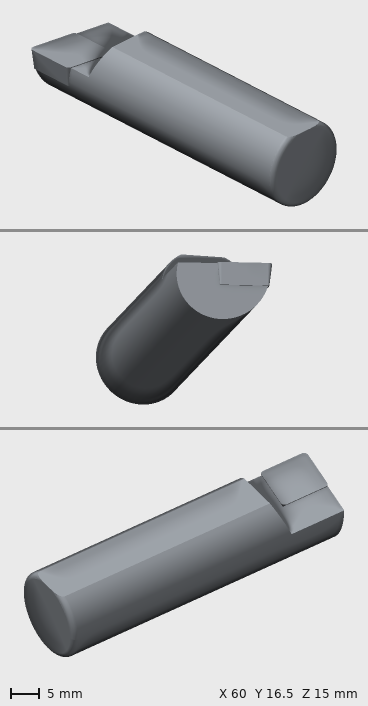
import cadquery as cq
import math


total_length = 60.0
shank_diameter = 16.0
shank_radius = shank_diameter / 2
flat_height = 15.0 - shank_radius
end_fillet = 1.0
shelf_height = 1.75
shelf_end = 14.0
back_wall_angle = math.radians(20)
nose_setback = 0.2

insert_top = 1.9
insert_thickness = 3.95
insert_width = 9.55
insert_front = 16.5 - shank_radius
corner_angle = math.radians(80)
corner_radius = 0.8
relief_degrees = 7.0

side_lean = math.pi / 2 - corner_angle
relief = math.radians(relief_degrees)
insert_side = insert_width / math.sin(corner_angle)
side_shift = insert_width / math.tan(corner_angle)
sharp_corner_x = corner_radius - corner_radius / math.tan(corner_angle / 2)
margin = 3.0


def rhombus():
    """Sharp-cornered outline of the insert's top face."""
    front_y = -insert_front
    back_y = front_y + insert_width
    return cq.Sketch().polygon([
        (sharp_corner_x, front_y),
        (sharp_corner_x + insert_side, front_y),
        (sharp_corner_x + insert_side + side_shift, back_y),
        (sharp_corner_x + side_shift, back_y),
        (sharp_corner_x, front_y),
    ])


def tapered_block(outline):
    """Block reaching down from the insert's top face, narrowing by the relief angle."""
    return (
        cq.Workplane("XY", origin=(0, 0, insert_top))
        .placeSketch(outline)
        .extrude(-insert_thickness, taper=relief_degrees)
    )


def make_insert():
    """Rhombic insert with rounded corners and flanks narrowing downward."""
    return tapered_block(rhombus().vertices().fillet(corner_radius))


def make_pocket():
    """Seat of the insert; its sharp corners leave clearance at the rounded insert corners."""
    return tapered_block(rhombus())


def make_shank():
    """Round bar with its far end rounded."""
    bar = cq.Workplane("YZ").circle(shank_radius).extrude(total_length)
    return bar.faces(">X").edges().fillet(end_fillet)


def make_top_cut():
    """Material above the shelf, its back wall and the long flat."""
    wall_run = (flat_height - shelf_height) * math.tan(back_wall_angle)
    above = shank_radius + margin
    return (
        cq.Workplane("XZ")
        .moveTo(-margin, shelf_height)
        .lineTo(shelf_end, shelf_height)
        .lineTo(shelf_end + wall_run, flat_height)
        .lineTo(total_length + margin, flat_height)
        .lineTo(total_length + margin, above)
        .lineTo(-margin, above)
        .close()
        .extrude(shank_radius + margin, both=True)
    )


def make_nose_cut():
    """Material in front of the nose face, which is parallel to the insert's end flank."""
    outward = (
        -math.cos(side_lean) * math.cos(relief),
        math.sin(side_lean) * math.cos(relief),
        -math.sin(relief),
    )
    along_edge = (math.sin(side_lean), math.cos(side_lean), 0)
    nose_plane = cq.Plane(
        origin=(sharp_corner_x + nose_setback, -insert_front, insert_top), xDir=along_edge, normal=outward
    )
    cut_size = 4 * shank_diameter
    return cq.Workplane(nose_plane).rect(cut_size, cut_size).extrude(shank_diameter)


insert = make_insert()
holder = make_shank().cut(make_top_cut()).cut(make_nose_cut()).cut(make_pocket())

result = cq.Compound.makeCompound([holder.solids().val(), insert.val()])